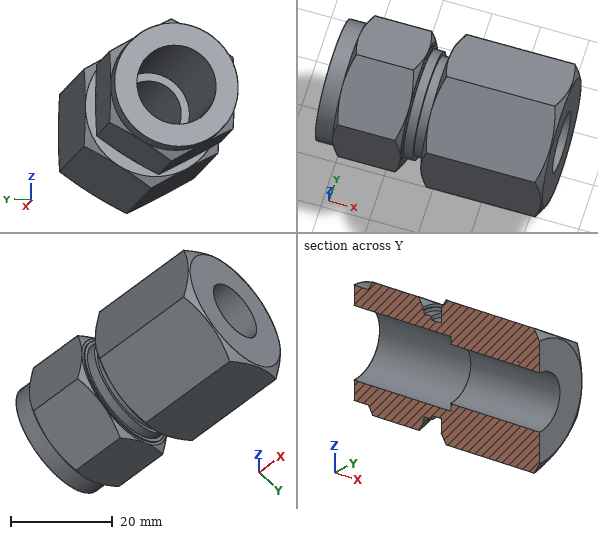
import cadquery as cq
import math

total_length = 46.9
nut_collar_length = 3.55
nut_hex_length = 13.95
nut_lip_length = 0.3
shoulder_end = 19.7
body_hex_length = 24.9
body_hex_start = total_length - body_hex_length

nut_flats = 24.9
body_flats = 27.0
hex_sides = 6
chamfer_angle = 30.0
body_flat_chamfer = 0.2

nut_collar_diameter = nut_flats
nut_lip_diameter = 23.75
shoulder_diameter = 22.3
neck_diameter = 20.65

tube_socket_diameter = 15.95
tube_socket_depth = 24.4
through_bore_diameter = 12.65


def cylinder(start, end, diameter):
    """Round section on the X axis between two stations."""
    return cq.Workplane("YZ", origin=(start, 0, 0)).circle(diameter / 2).extrude(end - start)


def chamfered_hex(start, length, flats, flat_chamfer=0.0):
    """Hexagonal bar with corners at +Z and -Z, both ends turned to a cone.

    The cones meet the flats at the start face and flat_chamfer short of the end face.
    """
    slope = math.tan(math.radians(chamfer_angle))
    end = start + length
    flat_radius = flats / 2
    corner_radius = flat_radius / math.cos(math.pi / hex_sides)
    chamfer_depth = (corner_radius - flat_radius) * slope
    end_radius = flat_radius - flat_chamfer / slope

    hex_bar = (
        cq.Workplane("YZ", origin=(start, 0, 0))
        .transformed(rotate=(0, 0, 90))
        .polygon(hex_sides, 2 * corner_radius)
        .extrude(length)
    )
    turned_envelope = (
        cq.Workplane("XY")
        .moveTo(start, 0)
        .lineTo(start, flat_radius)
        .lineTo(start + chamfer_depth, corner_radius)
        .lineTo(end - flat_chamfer - chamfer_depth, corner_radius)
        .lineTo(end, end_radius)
        .lineTo(end, 0)
        .close()
        .revolve(360, (0, 0, 0), (1, 0, 0))
    )
    return hex_bar.intersect(turned_envelope)


nut_hex_end = nut_collar_length + nut_hex_length
nut_lip_end = nut_hex_end + nut_lip_length
nut = (
    cylinder(0, nut_collar_length, nut_collar_diameter)
    .union(chamfered_hex(nut_collar_length, nut_hex_length, nut_flats))
    .union(cylinder(nut_hex_end, nut_lip_end, nut_lip_diameter))
)

body = (
    cylinder(nut_lip_end, shoulder_end, shoulder_diameter)
    .union(cylinder(shoulder_end, body_hex_start, neck_diameter))
    .union(chamfered_hex(body_hex_start, body_hex_length, body_flats, body_flat_chamfer))
)

tube_socket = cylinder(0, tube_socket_depth, tube_socket_diameter)
through_bore = cylinder(0, total_length, through_bore_diameter)

result = nut.union(body).cut(tube_socket).cut(through_bore)